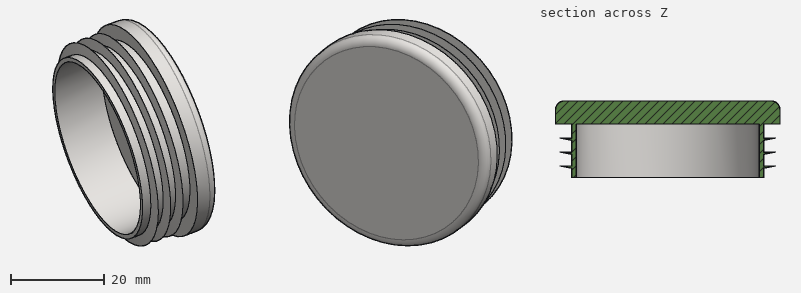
import cadquery as cq


head_diameter = 48.3
head_thickness = 5.0
head_edge_radius = 2.0

plug_diameter = 41.3
plug_length = 11.5
wall_thickness = 1.0
bore_depth = plug_length

fin_diameter = 46.3
fin_root_thickness = 0.5
fin_pitch = 3.0
fin_count = 3

head_radius = head_diameter / 2
plug_radius = plug_diameter / 2
bore_radius = plug_radius - wall_thickness
fin_radius = fin_diameter / 2


def revolve_about_y(profile):
    """Turn a closed profile, drawn as (Y, Z) points, fully about the Y axis."""
    return profile.close().revolve(360, (0, 0, 0), (1, 0, 0))


def make_head():
    """Disc with its outer edge rounded on the exposed +Y face."""
    profile = (
        cq.Workplane("YZ")
        .lineTo(0, head_radius)
        .lineTo(head_thickness - head_edge_radius, head_radius)
        .radiusArc((head_thickness, head_radius - head_edge_radius), head_edge_radius)
        .lineTo(head_thickness, 0)
    )
    return revolve_about_y(profile)


def make_plug():
    """Solid cylinder running from the head toward -Y."""
    profile = (
        cq.Workplane("YZ")
        .lineTo(0, plug_radius)
        .lineTo(-plug_length, plug_radius)
        .lineTo(-plug_length, 0)
    )
    return revolve_about_y(profile)


def make_fin(distance_from_head):
    """Thin ring, flat toward the head and conical toward the open end."""
    flat_y = -distance_from_head
    root_y = flat_y - fin_root_thickness
    profile = (
        cq.Workplane("YZ")
        .moveTo(flat_y, bore_radius)
        .lineTo(flat_y, fin_radius)
        .lineTo(root_y, plug_radius)
        .lineTo(root_y, bore_radius)
    )
    return revolve_about_y(profile)


def make_bore():
    """Blind cylindrical cavity cut into the plug from its open end."""
    floor_y = bore_depth - plug_length
    profile = (
        cq.Workplane("YZ")
        .moveTo(-plug_length, 0)
        .lineTo(-plug_length, bore_radius)
        .lineTo(floor_y, bore_radius)
        .lineTo(floor_y, 0)
    )
    return revolve_about_y(profile)


result = make_head().union(make_plug())
for fin_number in range(1, fin_count + 1):
    result = result.union(make_fin(fin_number * fin_pitch))
result = result.cut(make_bore())